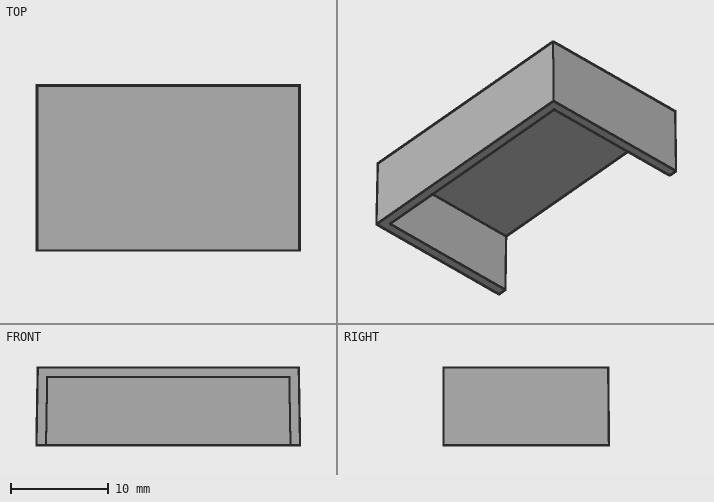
import cadquery as cq
import math

width = 27.1
depth = 17.0
height = 8.0
wall = 1.0
side_draft = 1.0
back_draft = 0.5

front_y = -depth / 2
back_y = depth / 2
cavity_height = height - wall


def drafted_block(bottom_width, bottom_back_y, block_height):
    """Block on Z = 0 with a vertical front and drafted sides and back."""
    side_inset = block_height * math.tan(math.radians(side_draft))
    back_inset = block_height * math.tan(math.radians(back_draft))
    top_width = bottom_width - 2 * side_inset
    bottom_depth = bottom_back_y - front_y
    top_depth = bottom_depth - back_inset
    return (
        cq.Workplane("XY")
        .center(0, front_y + bottom_depth / 2)
        .rect(bottom_width, bottom_depth)
        .workplane(offset=block_height)
        .center(0, -back_inset / 2)
        .rect(top_width, top_depth)
        .loft(ruled=True)
    )


shell = drafted_block(width, back_y, height)
cavity = drafted_block(width - 2 * wall, back_y - wall, cavity_height)
result = shell.cut(cavity)